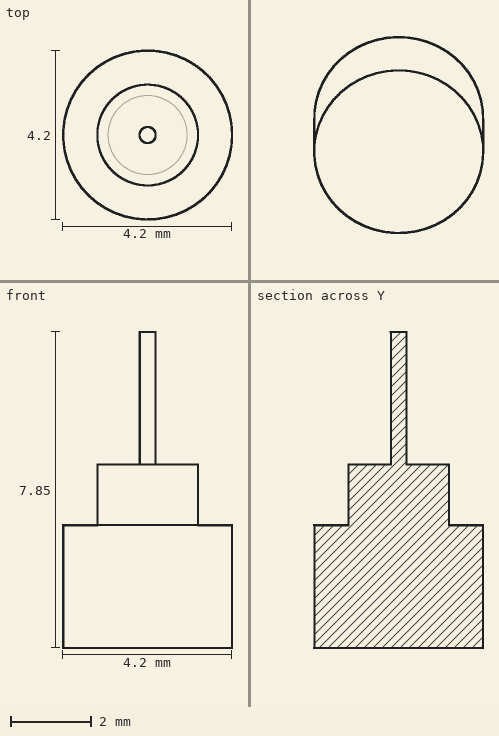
import cadquery as cq

total_height = 7.85
body_diameter = 4.2

body_height = 3.05
collar_diameter = 2.505
collar_height = 1.51
seal_diameter = 1.96
pin_diameter = 0.4
collar_top = body_height + collar_height
pin_height = total_height - collar_top


def cylinder(diameter, height, base_z):
    """Upright cylinder on the Z axis."""
    return cq.Workplane("XY").workplane(offset=base_z).circle(diameter / 2).extrude(height)


body = cylinder(body_diameter, body_height, 0)

seal = cylinder(seal_diameter, collar_height, body_height)
collar = cylinder(collar_diameter, collar_height, body_height).cut(seal)

pin = cylinder(pin_diameter, pin_height, collar_top)

result = body.union(collar, clean=False).union(seal, clean=False).union(pin, clean=False)